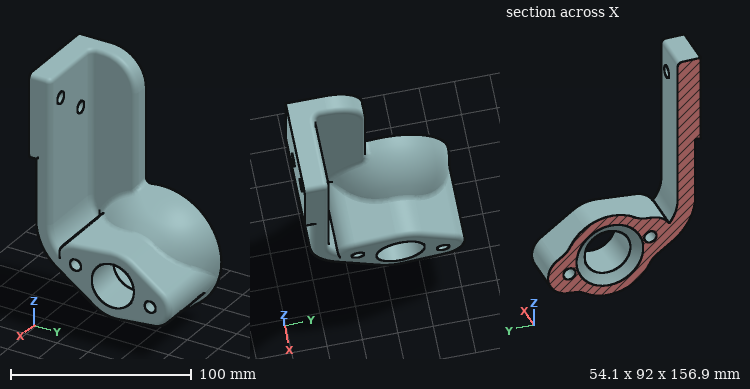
import cadquery as cq
import math

UNIT = 10.82
WIDTH = 5 * UNIT
EDGE_RADIUS = 0.3 * UNIT

CUP_RADIUS = 3.5 * UNIT
CUP_WALL = 0.4 * UNIT
BORE_RADIUS = 13.6

HUB_RADIUS = 2 * UNIT
SCREW_OFFSET = 24.9
SCREW_ANGLE = -15
SCREW_RADIUS = 3.5
EAR_INSET = 0.1
EAR_RADIUS = CUP_RADIUS - SCREW_OFFSET - EAR_INSET

TOP_Z = 11 * UNIT
PAD_FACE_Y = -5 * UNIT
PAD_STEP = 0.3 * UNIT
PAD_HEIGHT = WIDTH
ARM_OUTER_Y = PAD_FACE_Y + PAD_STEP
PLATE_INNER_Y = ARM_OUTER_Y + UNIT
WALL_INNER_Y = -UNIT
WALL_CORNER_RADIUS = 2 * UNIT
BEND_OUTER_RADIUS = 3 * UNIT
BEND_INNER_RADIUS = BEND_OUTER_RADIUS - UNIT

PAD_HOLES = [(2 * UNIT, 3 * UNIT), (4 * UNIT, 1.5 * UNIT)]
PAD_HOLE_RADIUS = 3.6

REACH = 0.1


def polar(radius, degrees, center=(0, 0)):
    """Point in the YZ plane at an angle measured from +Y toward +Z."""
    angle = math.radians(degrees)
    return (center[0] + radius * math.cos(angle), center[1] + radius * math.sin(angle))


TAPER = math.degrees(math.asin((HUB_RADIUS - EAR_RADIUS) / SCREW_OFFSET))
UNDERSIDE = SCREW_ANGLE + 270 - TAPER
BEND_MIDDLE = (180 + UNDERSIDE) / 2
BEND_Y = ARM_OUTER_Y + BEND_OUTER_RADIUS
underside_normal = polar(1, UNDERSIDE)
BEND_Z = (HUB_RADIUS - BEND_OUTER_RADIUS - BEND_Y * underside_normal[0]) / underside_normal[1]
BEND_CENTER = (BEND_Y, BEND_Z)


def housing():
    """Hub and ears with common tangents, rounded round the +X face."""
    ear_plus = polar(SCREW_OFFSET, SCREW_ANGLE)
    ear_minus = polar(SCREW_OFFSET, SCREW_ANGLE + 180)
    up_plus = SCREW_ANGLE + 90 - TAPER
    up_minus = SCREW_ANGLE + 90 + TAPER
    down_plus = SCREW_ANGLE - 90 + TAPER
    outline = (
        cq.Workplane("YZ")
        .moveTo(*polar(HUB_RADIUS, up_plus))
        .lineTo(*polar(EAR_RADIUS, up_plus, ear_plus))
        .threePointArc(
            polar(EAR_RADIUS, SCREW_ANGLE, ear_plus),
            polar(EAR_RADIUS, down_plus, ear_plus),
        )
        .lineTo(*polar(HUB_RADIUS, down_plus))
        .threePointArc(polar(HUB_RADIUS, SCREW_ANGLE - 90), polar(HUB_RADIUS, UNDERSIDE))
        .lineTo(*polar(EAR_RADIUS, UNDERSIDE, ear_minus))
        .threePointArc(
            polar(EAR_RADIUS, SCREW_ANGLE + 180, ear_minus),
            polar(EAR_RADIUS, up_minus, ear_minus),
        )
        .lineTo(*polar(HUB_RADIUS, up_minus))
        .threePointArc(polar(HUB_RADIUS, SCREW_ANGLE + 90), polar(HUB_RADIUS, up_plus))
    )
    return outline.close().extrude(WIDTH).faces(">X").edges().fillet(EDGE_RADIUS)


def arm_outer_edge():
    """Open outline from the top of the arm, round the bend and along the underside to the hub."""
    return (
        cq.Workplane("YZ")
        .moveTo(ARM_OUTER_Y, TOP_Z)
        .lineTo(ARM_OUTER_Y, BEND_Z)
        .threePointArc(
            polar(BEND_OUTER_RADIUS, BEND_MIDDLE, BEND_CENTER),
            polar(BEND_OUTER_RADIUS, UNDERSIDE, BEND_CENTER),
        )
        .lineTo(*polar(HUB_RADIUS, UNDERSIDE))
    )


def plate():
    outline = (
        arm_outer_edge()
        .lineTo(*polar(HUB_RADIUS - UNIT, UNDERSIDE))
        .lineTo(*polar(BEND_INNER_RADIUS, UNDERSIDE, BEND_CENTER))
        .threePointArc(
            polar(BEND_INNER_RADIUS, BEND_MIDDLE, BEND_CENTER),
            (PLATE_INNER_Y, BEND_Z),
        )
        .lineTo(PLATE_INNER_Y, TOP_Z)
    )
    return outline.close().extrude(WIDTH)


def side_wall():
    corner = (WALL_INNER_Y - WALL_CORNER_RADIUS, TOP_Z - WALL_CORNER_RADIUS)
    outline = (
        arm_outer_edge()
        .lineTo(WALL_INNER_Y, 0)
        .lineTo(WALL_INNER_Y, corner[1])
        .threePointArc(polar(WALL_CORNER_RADIUS, 45, corner), (corner[0], TOP_Z))
    )
    return outline.close().extrude(UNIT)


def edges_between(solid, low, high):
    """Edges whose centers lie in the box between two corners."""
    return solid.edges(cq.selectors.BoxSelector(low, high))


def top_rim(solid):
    """Inner top edges of the arm, away from its +X end; rounding them runs on along the +Y edge."""
    low = (UNIT - REACH, PLATE_INNER_Y - EDGE_RADIUS, TOP_Z - REACH)
    high = (WIDTH - REACH, WALL_INNER_Y, TOP_Z + REACH)
    return edges_between(solid, low, high)


def arm():
    """Plate and side wall with a rounded inside corner, inner top rim and +X outline."""
    joined = plate().union(side_wall())
    corner = edges_between(
        joined,
        (UNIT - REACH, PLATE_INNER_Y - REACH, BEND_Z - BEND_INNER_RADIUS),
        (UNIT + REACH, BEND_Y - BEND_INNER_RADIUS / 2, TOP_Z - REACH),
    )
    cornered = corner.fillet(EDGE_RADIUS)
    end_outline = cornered.faces(">X").edges()
    rounded_edges = top_rim(cornered).vals() + end_outline.vals()
    return cornered.newObject(rounded_edges).fillet(EDGE_RADIUS)


def pad():
    """Raised square mounting pad at the top of the arm, sunk past the rounding of the arm's end."""
    depth = PAD_STEP + EDGE_RADIUS
    block = cq.Workplane("XY").box(WIDTH, depth, PAD_HEIGHT, centered=False)
    rounded = block.faces(">X").edges("|Y").fillet(EDGE_RADIUS)
    return rounded.translate((0, PAD_FACE_Y, TOP_Z - PAD_HEIGHT))


def half_ball(radius):
    """Half ball on the +X side of X = 0."""
    ball = cq.Workplane("YZ").sphere(radius)
    half_space = cq.Workplane("YZ").rect(4 * radius, 4 * radius).extrude(2 * radius)
    return ball.intersect(half_space)


def on_cup(edge):
    """Whether an edge lies on the cup's outer sphere, away from its mouth."""
    samples = [edge.positionAt(place).Length for place in (0.1, 0.5, 0.8)]
    off_sphere = max(abs(radius - CUP_RADIUS) for radius in samples)
    return off_sphere < REACH / 100 and edge.Center().x > REACH


def on_wall(edge):
    """Whether an edge on the cup borders the side wall above the housing's ears."""
    center = edge.Center()
    return center.x < UNIT + REACH and center.z > EAR_RADIUS


def fillet_cup_joint(solid, at_wall):
    """Fillet where the cup meets the side wall, or where it meets everything else."""
    joint = [edge for edge in solid.edges().vals() if on_cup(edge) and on_wall(edge) == at_wall]
    return solid.newObject(joint).fillet(EDGE_RADIUS)


def wall_foot():
    """Cup and upper side wall with a filleted joint.

    The joint is filleted apart from the housing, so that the fillet does not run on into the
    sharp valley between the housing and the plate. The wall's lower end lies inside the housing.
    """
    below = cq.Workplane("XY").box(WIDTH, 2 * WIDTH, TOP_Z).translate((0, 0, UNIT - TOP_Z / 2))
    wall = side_wall().cut(below)
    wall = top_rim(wall).fillet(EDGE_RADIUS)
    return fillet_cup_joint(wall.union(half_ball(CUP_RADIUS)), at_wall=True)


def axial_hole(radius, center):
    """Cutter along X through the whole part."""
    return cq.Workplane("YZ").center(*center).circle(radius).extrude(WIDTH)


def pad_hole(x, depth_below_top):
    """Cutter along Y through the pad and the plate."""
    hole = cq.Workplane("XZ").center(x, TOP_Z - depth_below_top).circle(PAD_HOLE_RADIUS)
    return hole.extrude(-PAD_FACE_Y)


body = arm().union(housing()).union(half_ball(CUP_RADIUS))
body = fillet_cup_joint(body, at_wall=False)
body = body.union(wall_foot()).union(pad())
body = body.cut(half_ball(CUP_RADIUS - CUP_WALL))
body = body.cut(axial_hole(BORE_RADIUS, (0, 0)))
for half_turn in (0, 180):
    body = body.cut(axial_hole(SCREW_RADIUS, polar(SCREW_OFFSET, SCREW_ANGLE + half_turn)))
for hole_x, hole_depth in PAD_HOLES:
    body = body.cut(pad_hole(hole_x, hole_depth))

result = body